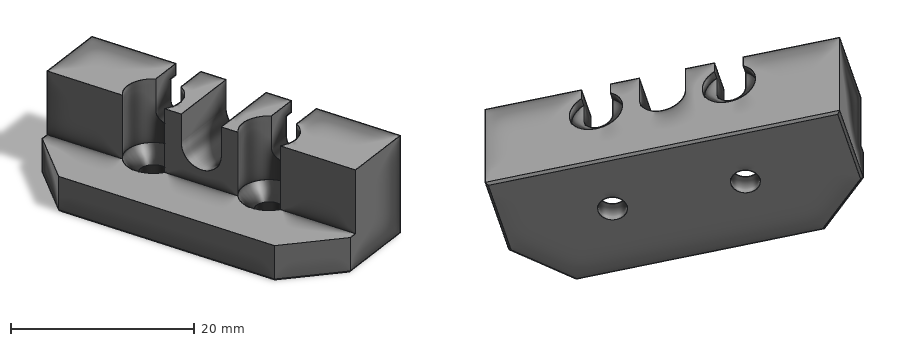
import cadquery as cq

length = 40
depth = 16
height = 12.5
base_height = 4.5
wall_depth = 9.0
corner_cut = 6
bottom_chamfer = 0.3

hole_spacing = 15.0
hole_from_back = 7.0
hole_diameter = 3.25
head_diameter = 6.8
countersink_depth = (head_diameter - hole_diameter) / 2
slot_axis_z = height - 4
recess_diameter = 6
recess_depth = 1.0

channel_width = 5.2
channel_axis_z = height - 3.6

back_y = depth / 2
hole_y = back_y - hole_from_back


def make_body():
    """L-shaped body with cut front corners and a chamfered underside."""
    base = cq.Workplane("XY").box(length, depth, base_height, centered=(True, True, False))
    base = base.edges("|Z and <Y").chamfer(corner_cut)
    wall = (
        cq.Workplane("XY")
        .box(length, wall_depth, height, centered=(True, False, False))
        .translate((0, back_y - wall_depth, 0))
    )
    return base.union(wall).faces("<Z").chamfer(bottom_chamfer)


def rear_cylinder(x, z, diameter, cut_depth):
    """Cylinder along Y reaching forward from the back face."""
    start = cq.Vector(x, back_y, z)
    return cq.Workplane(cq.Solid.makeCylinder(diameter / 2, cut_depth, start, cq.Vector(0, -1, 0)))


def open_slot(x, axis_z, width, cut_depth):
    """Round-bottomed slot, open at the top and at the back."""
    opening = (
        cq.Workplane("XY")
        .box(width, cut_depth, height - axis_z, centered=(True, False, False))
        .translate((x, back_y - cut_depth, axis_z))
    )
    return opening.union(rear_cylinder(x, axis_z, width, cut_depth))


def screw_hole(x):
    """Through hole, conical seat and clearance for the screw head above it."""
    head_radius = head_diameter / 2
    hole_radius = hole_diameter / 2
    seat_bottom = base_height - countersink_depth
    return (
        cq.Workplane("XZ", origin=(x, hole_y, 0))
        .polyline([
            (0, 0),
            (hole_radius, 0),
            (hole_radius, seat_bottom),
            (head_radius, base_height),
            (head_radius, height),
            (0, height),
        ])
        .close()
        .revolve(360, (0, 0, 0), (0, 1, 0))
    )


result = make_body().cut(open_slot(0, channel_axis_z, channel_width, wall_depth))

for hole_x in (-hole_spacing / 2, hole_spacing / 2):
    result = result.cut(screw_hole(hole_x))
    result = result.cut(open_slot(hole_x, slot_axis_z, hole_diameter, hole_from_back))
    result = result.cut(rear_cylinder(hole_x, slot_axis_z, recess_diameter, recess_depth))